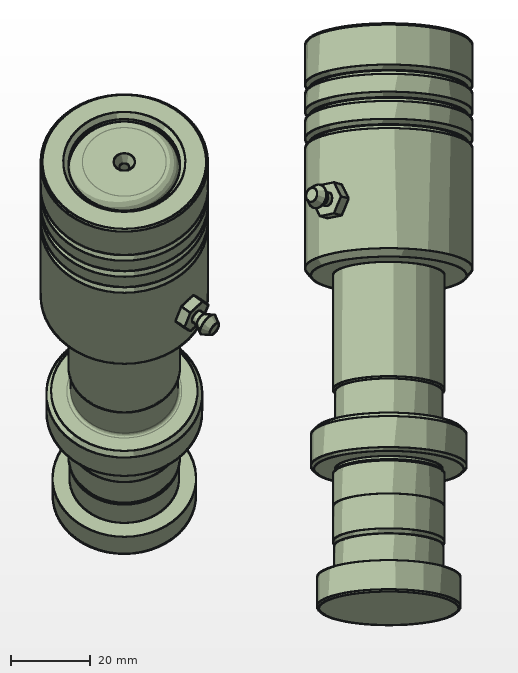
import cadquery as cq
import math

total_height = 146.0
flange_height = 8.0
retainer_height = 16.0
collar_bottom = 36.0
collar_top = 46.0
relief_top = 56.5

flange_radius = 18.0
flange_chamfer = 0.5
retainer_neck_radius = 13.75

pillar_radius = 14.0
press_fit_radius = 14.02
press_fit_bottom = 26.2
foot_chamfer_height = 1.2
foot_chamfer_width = 0.7
collar_radius = 19.55
collar_bottom_chamfer = 0.8
collar_top_chamfer = 1.2
relief_radius = 13.5
relief_fillet = 0.9
undercut_radius = 13.5
undercut_height = 0.8
undercut_taper = pillar_radius - undercut_radius
relief_taper = pillar_radius - relief_radius
pillar_top = total_height
pillar_top_fillet = 3.5
pilot_radius = 1.25
pilot_depth = 5.5
drill_point_depth = pilot_radius * math.tan(math.radians(30))
countersink_radius = 2.65
countersink_depth = (countersink_radius - pilot_radius) / math.tan(math.radians(30))

bushing_radius = 21.0
bushing_length = 60.0
bushing_bottom = total_height - bushing_length
bushing_top_chamfer = 0.5
bushing_foot_chamfer_height = 1.8
bushing_foot_chamfer_width = 1.5
bore_chamfer = 1.3
groove_levels = (134.0, 127.0, 120.0)
groove_width = 2.4
groove_floor_width = 0.2
groove_depth = 1.1

nipple_level = 101.1
nipple_angle = -15.0
stud_radius = 3.0
stud_length = 5.0
hex_across_flats = 8.0
hex_length = 3.0
nipple_neck_radius = 1.75
nipple_neck_length = 1.6
nipple_head_radius = 3.0
nipple_head_peak = 3.8
nipple_tip_radius = 1.8
nipple_tip_end = 5.94


def revolve_profile(points):
    """Turn a closed (radius, height) outline about the Z axis."""
    return cq.Workplane("XZ").polyline(points).close().revolve(360, (0, 0), (0, 1))


def place_on_nipple_axis(body):
    """Move a body built along +Z from the origin onto the bushing's side."""
    angle = math.radians(nipple_angle)
    seat = (bushing_radius * math.cos(angle), bushing_radius * math.sin(angle), nipple_level)
    lying = body.rotate((0, 0, 0), (0, 1, 0), 90)
    return lying.rotate((0, 0, 0), (0, 0, 1), nipple_angle).translate(seat)


def make_stud():
    return cq.Workplane("XY").workplane(offset=-stud_length).circle(stud_radius).extrude(stud_length)


def make_retainer():
    flange = cq.Workplane("XY").circle(flange_radius).extrude(flange_height)
    flange = flange.faces("<Z").edges().chamfer(flange_chamfer)
    neck = cq.Workplane("XY").circle(retainer_neck_radius).extrude(retainer_height)
    return flange.union(neck)


def make_pillar():
    shaft = (
        cq.Workplane("XZ")
        .moveTo(0, retainer_height)
        .lineTo(pillar_radius - foot_chamfer_width, retainer_height)
        .lineTo(pillar_radius, retainer_height + foot_chamfer_height)
        .lineTo(pillar_radius, press_fit_bottom)
        .lineTo(press_fit_radius, press_fit_bottom)
        .lineTo(press_fit_radius, collar_bottom - undercut_height - undercut_taper)
        .lineTo(undercut_radius, collar_bottom - undercut_height)
        .lineTo(undercut_radius, collar_bottom)
        .lineTo(collar_radius - collar_bottom_chamfer, collar_bottom)
        .lineTo(collar_radius, collar_bottom + collar_bottom_chamfer)
        .lineTo(collar_radius, collar_top - collar_top_chamfer)
        .lineTo(collar_radius - collar_top_chamfer, collar_top)
        .lineTo(relief_radius + relief_fillet, collar_top)
        .radiusArc((relief_radius, collar_top + relief_fillet), relief_fillet)
        .lineTo(relief_radius, relief_top - relief_taper)
        .lineTo(pillar_radius, relief_top)
        .lineTo(pillar_radius, pillar_top - pillar_top_fillet)
        .radiusArc((pillar_radius - pillar_top_fillet, pillar_top), -pillar_top_fillet)
        .lineTo(0, pillar_top)
        .close()
        .revolve(360, (0, 0), (0, 1))
    )
    pilot_bottom = pillar_top - pilot_depth
    lathe_centre = revolve_profile([
        (0, pilot_bottom - drill_point_depth),
        (pilot_radius, pilot_bottom),
        (pilot_radius, pillar_top - countersink_depth),
        (countersink_radius, pillar_top),
        (0, pillar_top),
    ])
    return shaft.cut(lathe_centre)


def make_groove(level):
    floor_radius = bushing_radius - groove_depth
    return revolve_profile([
        (bushing_radius, level - groove_width / 2),
        (bushing_radius, level + groove_width / 2),
        (floor_radius, level + groove_floor_width / 2),
        (floor_radius, level - groove_floor_width / 2),
    ])


def make_bushing():
    bushing = revolve_profile([
        (pillar_radius, bushing_bottom),
        (bushing_radius - bushing_foot_chamfer_width, bushing_bottom),
        (bushing_radius, bushing_bottom + bushing_foot_chamfer_height),
        (bushing_radius, total_height - bushing_top_chamfer),
        (bushing_radius - bushing_top_chamfer, total_height),
        (pillar_radius + bore_chamfer, total_height),
        (pillar_radius, total_height - bore_chamfer),
    ])
    for level in groove_levels:
        bushing = bushing.cut(make_groove(level))
    return bushing.cut(place_on_nipple_axis(make_stud()))


def make_nipple():
    hex_across_corners = hex_across_flats / math.cos(math.pi / 6)
    hexagon = cq.Workplane("XY").polygon(6, hex_across_corners).extrude(hex_length)
    hexagon = hexagon.rotate((0, 0, 0), (0, 0, 1), 90)
    head = revolve_profile([
        (0, 0),
        (nipple_neck_radius, 0),
        (nipple_neck_radius, nipple_neck_length),
        (nipple_head_radius, nipple_head_peak),
        (nipple_tip_radius, nipple_tip_end),
        (0, nipple_tip_end),
    ]).translate((0, 0, hex_length))
    return place_on_nipple_axis(hexagon.union(head).union(make_stud()))


retainer = make_retainer()
pillar = make_pillar()
bushing = make_bushing()
nipple = make_nipple()

result = cq.Compound.makeCompound([retainer.val(), pillar.val(), bushing.val(), nipple.val()])